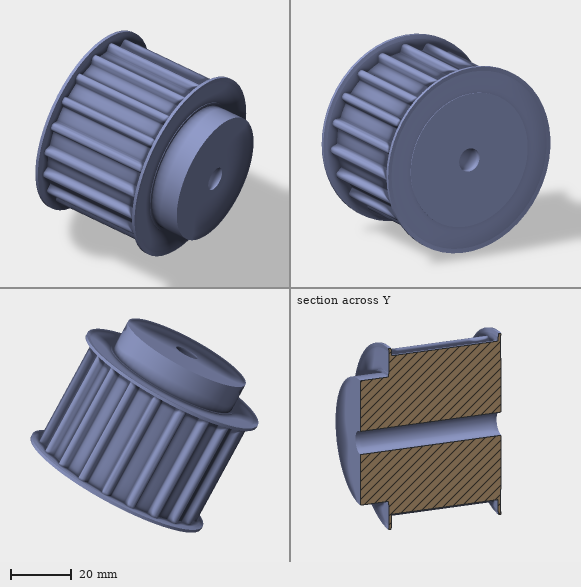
import cadquery as cq
import math


total_length = 50.0
rim_width = 40.0
flange_diameter = 64.0
hub_diameter = 44.0
bore_diameter = 8.0

flange_thickness = 1.0
flange_bend_diameter = 61.05
flange_bend_offset = 0.2
flange_seat_diameter = 46.1

tooth_count = 19
tip_diameter = 58.6
tooth_depth = 2.6
tooth_root_width = 3.6
tooth_flank_angle = 15.5
tip_fillet = 1.15
root_fillet = 0.45

tip_radius = tip_diameter / 2
root_radius = tip_radius - tooth_depth
tooth_pitch_angle = 360 / tooth_count
belt_start = flange_bend_offset + flange_thickness
belt_width = rim_width - 2 * belt_start
edge_tolerance = 0.005


def disc(diameter, start, length):
    """Solid disc on the X axis."""
    return cq.Workplane("YZ", origin=(start, 0, 0)).circle(diameter / 2).extrude(length)


def tooth(angle):
    """One sharp-edged tooth, reaching below the root circle so that it joins the core."""
    flank_angle = math.radians(tooth_flank_angle)
    slope = math.tan(flank_angle)
    root_height = math.sqrt(root_radius**2 - (tooth_root_width / 2) ** 2)
    base_height = root_height - tooth_depth
    base_half_width = tooth_root_width / 2 + tooth_depth * slope

    axis_half_width = tooth_root_width / 2 + root_height * slope
    flank_distance = axis_half_width * math.cos(flank_angle)
    tip_angle = math.asin(flank_distance / tip_radius) - flank_angle
    tip_height = tip_radius * math.cos(tip_angle)
    tip_half_width = tip_radius * math.sin(tip_angle)

    return (
        cq.Workplane("YZ", origin=(belt_start, 0, 0))
        .moveTo(base_height, -base_half_width)
        .lineTo(tip_height, -tip_half_width)
        .threePointArc((tip_radius, 0), (tip_height, tip_half_width))
        .lineTo(base_height, base_half_width)
        .close()
        .extrude(belt_width)
        .rotate((0, 0, 0), (1, 0, 0), angle)
    )


def edges_at_radius(body, radius):
    """Lengthwise edges of the body at a given distance from the X axis."""
    return body.edges("|X").filter(
        lambda edge: abs(math.hypot(edge.Center().y, edge.Center().z) - radius) < edge_tolerance
    )


def toothed_rim():
    body = disc(2 * root_radius, belt_start, belt_width)
    for index in range(tooth_count):
        body = body.union(tooth(index * tooth_pitch_angle))
    body = edges_at_radius(body, root_radius).fillet(root_fillet)
    body = edges_at_radius(body, tip_radius).fillet(tip_fillet)
    return body.rotate((0, 0, 0), (1, 0, 0), 90)


def flange():
    """Flange at the X = 0 end, with its outer band bent towards -X."""
    bend_radius = flange_bend_diameter / 2
    flange_radius = flange_diameter / 2
    return (
        cq.Workplane("XY")
        .moveTo(flange_bend_offset, 0)
        .lineTo(flange_bend_offset, bend_radius)
        .lineTo(0, flange_radius)
        .lineTo(flange_thickness, flange_radius)
        .lineTo(belt_start, bend_radius)
        .lineTo(belt_start, 0)
        .close()
        .revolve(360, (0, 0, 0), (1, 0, 0))
    )


near_flange = flange()
far_flange = near_flange.mirror("YZ").translate((rim_width, 0, 0))

core = disc(flange_seat_diameter, 0, rim_width)
hub = disc(hub_diameter, rim_width, total_length - rim_width)
bore = disc(bore_diameter, 0, total_length)

result = toothed_rim().union(near_flange).union(far_flange).union(core).union(hub).cut(bore)